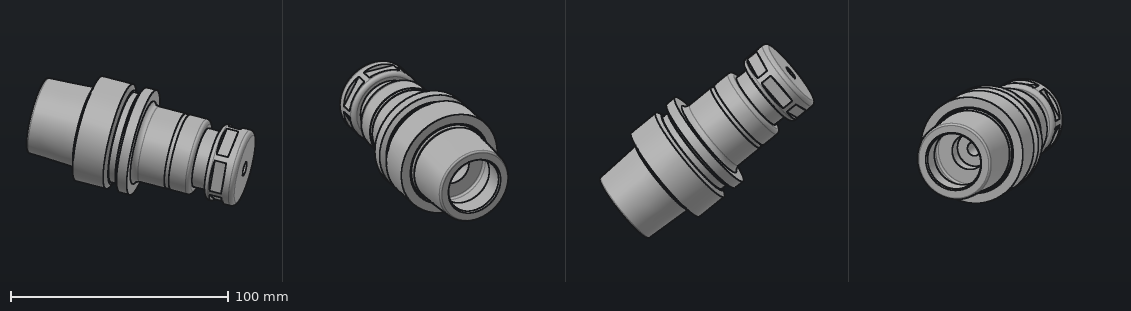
import cadquery as cq
import math

LENGTH = 100.0
FLANGE_RADIUS = 25.0

SHANK_TIP_RADIUS = 18.0
SHANK_RIM_RADIUS = 38.3 / 2
SHANK_TIP_FILLET = 0.9
SHANK_LENGTH = 23.0

UNDERCUT_RADIUS = 37.9 / 2
UNDERCUT_START = 23.5
UNDERCUT_FILLET = 0.6
UNDERCUT_FILLET_START = 24.5
UNDERCUT_OUTER_RADIUS = 20.3

FLANGE_START = 24.8
FLANGE_END = 51.0
GROOVE_RADIUS = 21.5
GROOVE_OPENING_START = 39.6
GROOVE_OPENING_END = 46.1
GROOVE_WALL_WIDTH = 1.5
GROOVE_WALL_ANGLE = 60.0

BODY_RADIUS = 18.0
BODY_END = 79.0
BODY_END_FILLET = 2.0
ROOT_FILLET = 3.5
ROOT_FILLET_END = 54.0
BAND_RADIUS = 17.8
BAND_START = 66.9
BAND_END = 69.0

NECK_RADIUS = 14.0
NUT_RADIUS = 36.3 / 2
NUT_START = 85.8
NUT_FILLET = 2.1

FLAT_COUNT = 6
FLAT_APOTHEM = 16.4
FLAT_START = 88.9
FLAT_END = 94.4
FLAT_WALL_FLARE = 0.5

SHANK_BORE_RADIUS = 13.0
SHANK_BORE_CHAMFER_HEIGHT = 0.6
SHANK_BORE_CHAMFER_LENGTH = 0.9
CAVITY_RADIUS = 16.0
CAVITY_START = 10.0
CAVITY_END = 20.8
CAVITY_FILLET = 1.0
COUNTERBORE_RADIUS = 16.3 / 2
COUNTERBORE_END = 28.0
THROUGH_RADIUS = 6.5 / 2

BACK = (-1, 0)
AHEAD = (1, 0)
DOWN = (0, -1)
UP = (0, 1)


def round_corner(outline, corner, radius, start_way, end_way):
    """Add a quarter round at a square corner; the two ways lead from the corner to its ends."""
    mid_offset = radius * (1 - math.sqrt(0.5))
    start = (corner[0] + radius * start_way[0], corner[1] + radius * start_way[1])
    end = (corner[0] + radius * end_way[0], corner[1] + radius * end_way[1])
    mid = (
        corner[0] + mid_offset * (start_way[0] + end_way[0]),
        corner[1] + mid_offset * (start_way[1] + end_way[1]),
    )
    return outline.lineTo(*start).threePointArc(mid, end)


def make_turned_body():
    """Revolve the half outline (x along the axis, y as radius) about the X axis."""
    wall_height = GROOVE_WALL_WIDTH * math.tan(math.radians(GROOVE_WALL_ANGLE))
    wall_radius = FLANGE_RADIUS - wall_height
    groove_start = GROOVE_OPENING_START + GROOVE_WALL_WIDTH
    groove_end = GROOVE_OPENING_END - GROOVE_WALL_WIDTH
    root_rise = ROOT_FILLET - math.sqrt(ROOT_FILLET**2 - (ROOT_FILLET_END - FLANGE_END) ** 2)

    outline = cq.Workplane("XY").moveTo(0, 0)
    outline = round_corner(outline, (0, SHANK_TIP_RADIUS), SHANK_TIP_FILLET, DOWN, AHEAD)
    outline = outline.lineTo(SHANK_LENGTH, SHANK_RIM_RADIUS).lineTo(UNDERCUT_START, UNDERCUT_RADIUS)
    undercut_corner = (UNDERCUT_FILLET_START + UNDERCUT_FILLET, UNDERCUT_RADIUS)
    outline = round_corner(outline, undercut_corner, UNDERCUT_FILLET, BACK, UP)
    outline = (
        outline.lineTo(FLANGE_START, UNDERCUT_OUTER_RADIUS)
        .lineTo(FLANGE_START, FLANGE_RADIUS)
        .lineTo(GROOVE_OPENING_START, FLANGE_RADIUS)
        .lineTo(groove_start, wall_radius)
        .lineTo(groove_start, GROOVE_RADIUS)
        .lineTo(groove_end, GROOVE_RADIUS)
        .lineTo(groove_end, wall_radius)
        .lineTo(GROOVE_OPENING_END, FLANGE_RADIUS)
        .lineTo(FLANGE_END, FLANGE_RADIUS)
        .lineTo(FLANGE_END, BODY_RADIUS + root_rise)
        .radiusArc((ROOT_FILLET_END, BODY_RADIUS), -ROOT_FILLET)
        .lineTo(BAND_START, BODY_RADIUS)
        .lineTo(BAND_START, BAND_RADIUS)
        .lineTo(BAND_END, BAND_RADIUS)
        .lineTo(BAND_END, BODY_RADIUS)
    )
    outline = round_corner(outline, (BODY_END, BODY_RADIUS), BODY_END_FILLET, BACK, DOWN)
    outline = outline.lineTo(BODY_END, NECK_RADIUS).lineTo(NUT_START, NECK_RADIUS)
    outline = round_corner(outline, (NUT_START, NUT_RADIUS), NUT_FILLET, DOWN, AHEAD)
    outline = round_corner(outline, (LENGTH, NUT_RADIUS), NUT_FILLET, BACK, DOWN)
    return outline.lineTo(LENGTH, 0).close().revolve(360, (0, 0, 0), (1, 0, 0))


def make_flat_cutter():
    """Slot with flared end walls that leaves one wrench flat on top of the nut."""
    depth = NUT_RADIUS - FLAT_APOTHEM
    return (
        cq.Workplane("XZ")
        .moveTo(FLAT_START, FLAT_APOTHEM)
        .lineTo(FLAT_END, FLAT_APOTHEM)
        .lineTo(FLAT_END + FLAT_WALL_FLARE, FLAT_APOTHEM + depth)
        .lineTo(FLAT_START - FLAT_WALL_FLARE, FLAT_APOTHEM + depth)
        .close()
        .extrude(NUT_RADIUS / 2, both=True)
    )


def cut_wrench_flats(body):
    cutter = make_flat_cutter()
    for index in range(FLAT_COUNT):
        angle = index * 360 / FLAT_COUNT
        body = body.cut(cutter.rotate((0, 0, 0), (1, 0, 0), angle))
    return body


def make_bore(radius, start, end):
    """Cylinder along the X axis between two stations."""
    return cq.Workplane("YZ", origin=(start, 0, 0)).circle(radius).extrude(end - start)


def cut_bores(body):
    cavity = make_bore(CAVITY_RADIUS, CAVITY_START, CAVITY_END).faces(">X").edges().fillet(CAVITY_FILLET)
    mouth_chamfer = cq.Workplane(
        cq.Solid.makeCone(
            SHANK_BORE_RADIUS + SHANK_BORE_CHAMFER_HEIGHT,
            SHANK_BORE_RADIUS,
            SHANK_BORE_CHAMFER_LENGTH,
            dir=cq.Vector(1, 0, 0),
        )
    )
    return (
        body.cut(mouth_chamfer)
        .cut(make_bore(SHANK_BORE_RADIUS, 0, CAVITY_START))
        .cut(cavity)
        .cut(make_bore(COUNTERBORE_RADIUS, 0, COUNTERBORE_END))
        .cut(make_bore(THROUGH_RADIUS, 0, LENGTH))
    )


result = cut_bores(cut_wrench_flats(make_turned_body()))